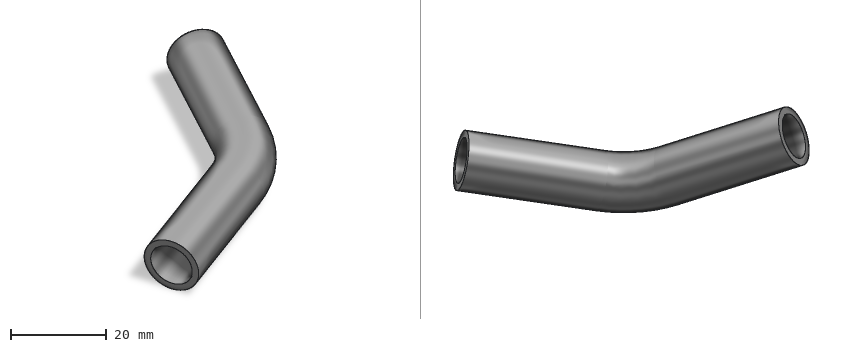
import cadquery as cq
import math

overall_length = 69.2
outer_diameter = 12.7
bore_diameter = 9.7
leg_length = 30.0
bend_angle = 45.0

bend_sin = math.sin(math.radians(bend_angle))
bend_cos = math.cos(math.radians(bend_angle))
outer_radius = outer_diameter / 2
end_leg_reach = leg_length * bend_cos + outer_radius * bend_sin
bend_radius = (overall_length - leg_length - end_leg_reach) / bend_sin


def bend_point(angle):
    """Point on the centreline arc after turning through angle degrees."""
    turn = math.radians(angle)
    x = -bend_radius * (1 - math.cos(turn))
    y = leg_length + bend_radius * math.sin(turn)
    return x, y


bend_end_x, bend_end_y = bend_point(bend_angle)
tube_end = (bend_end_x - leg_length * bend_sin, bend_end_y + leg_length * bend_cos)
centreline = (
    cq.Workplane("XY")
    .lineTo(0, leg_length)
    .threePointArc(bend_point(bend_angle / 2), (bend_end_x, bend_end_y))
    .lineTo(*tube_end)
)

result = (
    cq.Workplane("XZ")
    .circle(outer_radius)
    .circle(bore_diameter / 2)
    .sweep(centreline)
)